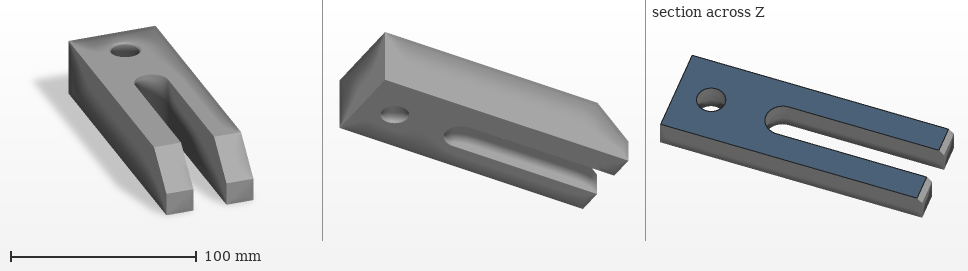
import cadquery as cq

length = 150.0
width = 50.0
height = 32.0

nose_bevel = 19.0

slot_width = 19.0
slot_start = 51.5
slot_radius = slot_width / 2
slot_arc_center = slot_start + slot_radius

hole_diameter = 15.5
hole_mouth_diameter = 17.5
hole_x = 20.0
hole_chamfer = (hole_mouth_diameter - hole_diameter) / 2


def make_body():
    """Side profile with the bevelled nose, extruded symmetrically about Y = 0."""
    return (
        cq.Workplane("XZ")
        .moveTo(0, 0)
        .lineTo(length, 0)
        .lineTo(length, height - nose_bevel)
        .lineTo(length - nose_bevel, height)
        .lineTo(0, height)
        .close()
        .extrude(width / 2, both=True)
    )


def make_slot():
    """Cutter for the slot that runs out through the nose."""
    return (
        cq.Workplane("XY")
        .moveTo(length, -slot_radius)
        .lineTo(slot_arc_center, -slot_radius)
        .threePointArc((slot_start, 0), (slot_arc_center, slot_radius))
        .lineTo(length, slot_radius)
        .close()
        .extrude(height)
    )


def make_hole():
    """Cutter for the vertical hole, flared at 45 degrees at the top face."""
    return (
        cq.Workplane("XZ")
        .moveTo(0, 0)
        .lineTo(hole_diameter / 2, 0)
        .lineTo(hole_diameter / 2, height - hole_chamfer)
        .lineTo(hole_mouth_diameter / 2, height)
        .lineTo(0, height)
        .close()
        .revolve(360, (0, 0, 0), (0, 1, 0))
        .translate((hole_x, 0, 0))
    )


result = make_body().cut(make_slot()).cut(make_hole())